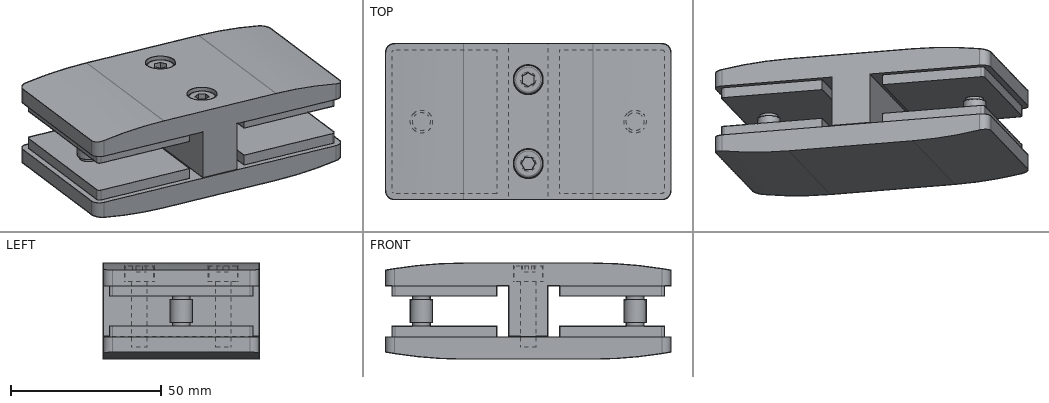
import cadquery as cq
import math

length = 95.0
width = 52.0
height = 32.0
half_height = height / 2

plate_thickness = 7.6
plate_corner_radius = 3.0
flat_length = 42.9
end_drop = 2.4
web_width = 13.1
web_clearance = 0.2
inner_face_z = half_height - plate_thickness
lower_inner_face_z = -inner_face_z - web_clearance

pad_inset = 2.1
pad_corner_radius = 1.0
pad_inner_x = 10.45
pad_gap = 10.0
pad_outer_x = length / 2 - pad_inset
pad_length = pad_outer_x - pad_inner_x
pad_width = width - 2 * pad_inset
pin_x = 35.5
pin_neck_diameter = 6.0
pin_neck_length = 1.1
pin_diameter = 7.5

screw_y = 14.0
counterbore_diameter = 10.0
head_diameter = 9.5
head_edge_radius = 0.6
head_height = 5.0
head_recess = 1.0
shank_diameter = 5.0
floor_below_shank = 4.0
hex_across_flats = 4.0
hex_depth = 2.0
hex_sides = 6
minus_y_hex_angle = 0
plus_y_hex_angle = 30
shank_end_z = -half_height + floor_below_shank
head_top_z = half_height - head_recess
head_seat_z = head_top_z - head_height


def at_height(z):
    return cq.Workplane("XY").workplane(offset=z)


def crowned_plate(inner_z):
    """Upper plate: flat inner face at inner_z, outer face falling along tangent arcs to both ends."""
    flat_x = flat_length / 2
    end_x = length / 2
    run = end_x - flat_x
    crown_radius = (run**2 + end_drop**2) / (2 * end_drop)
    mid_angle = math.asin(run / crown_radius) / 2
    mid_x = flat_x + crown_radius * math.sin(mid_angle)
    mid_z = half_height - crown_radius * (1 - math.cos(mid_angle))
    end_z = half_height - end_drop
    return (
        cq.Workplane("XZ")
        .moveTo(-end_x, inner_z)
        .lineTo(end_x, inner_z)
        .lineTo(end_x, end_z)
        .threePointArc((mid_x, mid_z), (flat_x, half_height))
        .lineTo(-flat_x, half_height)
        .threePointArc((-mid_x, mid_z), (-end_x, end_z))
        .close()
        .extrude(width / 2, both=True)
        .edges("|Z")
        .fillet(plate_corner_radius)
    )


def cylinder(bottom_z, top_z, diameter):
    return at_height(bottom_z).circle(diameter / 2).extrude(top_z - bottom_z)


def cut_at_screws(plate, cutter):
    for y in (-screw_y, screw_y):
        plate = plate.cut(cutter.translate((0, y, 0)))
    return plate


def make_upper_plate():
    """Crowned plate with the central web and the counterbored screw holes."""
    web = at_height(-inner_face_z).rect(web_width, width).extrude(2 * inner_face_z)
    plate = crowned_plate(inner_face_z).union(web)
    plate = cut_at_screws(plate, cylinder(-inner_face_z, half_height, shank_diameter))
    return cut_at_screws(plate, cylinder(head_seat_z, half_height, counterbore_diameter))


def make_lower_plate():
    """Mirrored crowned plate with blind screw holes."""
    plate = crowned_plate(-lower_inner_face_z).mirror("XY")
    return cut_at_screws(plate, cylinder(shank_end_z, lower_inner_face_z, shank_diameter))


def make_pad(bottom_z, top_z):
    """Pad on the +X half, rounded at its two outer corners."""
    return (
        at_height(bottom_z)
        .center((pad_inner_x + pad_outer_x) / 2, 0)
        .rect(pad_length, pad_width)
        .extrude(top_z - bottom_z)
        .edges("|Z and >X")
        .fillet(pad_corner_radius)
    )


def make_lower_pad():
    return make_pad(lower_inner_face_z, -pad_gap / 2)


def make_pinned_pad():
    """Upper pad with its stepped pin, which reaches down to the pad below."""
    pad = make_pad(pad_gap / 2, inner_face_z)
    barrel_top_z = pad_gap / 2 - pin_neck_length
    neck = cylinder(-pad_gap / 2, pad_gap / 2, pin_neck_diameter)
    pin = neck.union(cylinder(-barrel_top_z, barrel_top_z, pin_diameter))
    return pad.union(pin.translate((pin_x, 0, 0)))


def mirrored_pair(body):
    """The body on the +X half and its mirror image on the -X half."""
    return [body, body.mirror("YZ")]


def make_screw(y, hex_angle):
    """Socket head screw standing at y, its hexagon turned by hex_angle degrees."""
    shank = cylinder(shank_end_z, head_seat_z, shank_diameter)
    head = cylinder(head_seat_z, head_top_z, head_diameter).faces(">Z").edges().fillet(head_edge_radius)
    hex_across_corners = hex_across_flats / math.cos(math.pi / hex_sides)
    socket = at_height(head_top_z - hex_depth).polygon(hex_sides, hex_across_corners).extrude(hex_depth)
    socket = socket.rotate((0, 0, 0), (0, 0, 1), hex_angle)
    return shank.union(head).cut(socket).translate((0, y, 0))


upper_plate = make_upper_plate()
lower_plate = make_lower_plate()
lower_pads = mirrored_pair(make_lower_pad())
pinned_pads = mirrored_pair(make_pinned_pad())
screw_places = [(-screw_y, minus_y_hex_angle), (screw_y, plus_y_hex_angle)]
screws = [make_screw(y, angle) for y, angle in screw_places]

bodies = [upper_plate, lower_plate, *pinned_pads, *lower_pads, *screws]
result = cq.Compound.makeCompound([body.val() for body in bodies])